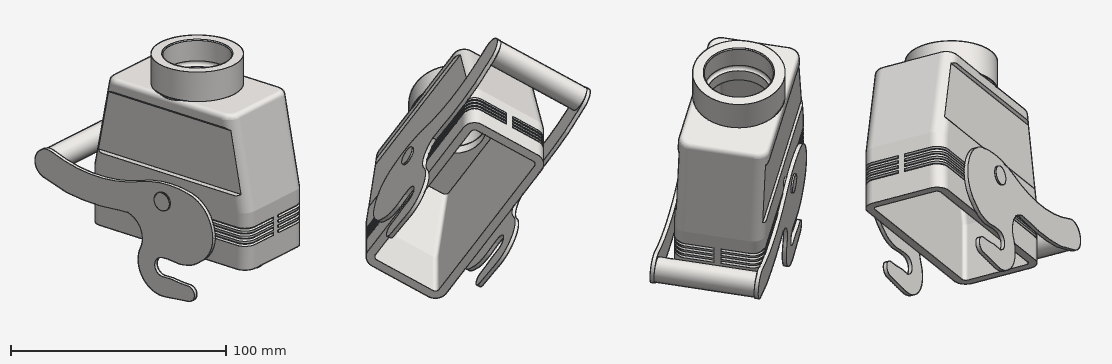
import cadquery as cq
import math

hood_length = 93.5
hood_width = 43.3
skirt_height = 29.0
hood_height = 76.0
roof_length = 75.1
corner_radius = 6.1
roof_edge_radius = 2.6

wall = 4.0

collar_diameter = 43.1
collar_root_diameter = 42.2
collar_top = 91.0
bore_radius = 16.1
bore_mouth_chamfer = 0.5
bore_depth = 10.8
throat_radius = 14.9
throat_start_depth = 13.1
bore_end_mid_radius = 15.8
bore_end_mid_depth = 12.5

panel_depth = 1.1
panel_bottom = 37.0
panel_top = 69.8

groove_count = 4
groove_width = 1.5
groove_depth = groove_width / 2
groove_pitch = 2.6
first_groove_bottom = 12.2
groove_gap = 3.4

pivot_height = 24.8
plate_inner_y = 23.8
plate_thickness = 2.0
pin_radius = 2.5
pin_head_radius = 4.5
overall_width = 53.2
pin_head_outer_y = overall_width / 2
handle_radius = 6.0

end_centre = (-68.5, pivot_height)
end_radius = 7.5
dip_centre = (-38.7, 101.6)
crown_centre = (3.8, -15.3)
crown_radius = 49.3
shoulder_centre = (11.3, 15.2)
belly_centre = (12.9, 14.1)
belly_radius = 16.8
hook_centre = (0.0, -8.7)
hook_outer_radius = 14.7
hook_inner_radius = 4.8
tip_centre = (14.9, -18.0)
tip_radius = 3.9
neck_centre = (-23.2, 2.6)

belly_tail_mid = (17.9, -2.7)
belly_tail_end = (13.7, -3.9)
slot_bulge_mid = (11.7, -4.3)
slot_bulge_end = (9.6, -4.4)
slot_roof_bend = (3.1, -3.8)
slot_floor_start = (4.9, -13.4)
slot_floor_end = (10.1, -14.0)
underside_start = (-27.0, 13.1)
underside_mid = (-39.3, 12.3)
underside_end = (-57.2, 13.6)

end_tangent_angle = 253
belly_start_angle = 20
belly_end_angle = -59
finger_tangent_angle = 276
neck_end_angle = 78


def distance(a, b):
    return math.hypot(b[0] - a[0], b[1] - a[1])


def on_circle(centre, radius, degrees):
    angle = math.radians(degrees)
    return (centre[0] + radius * math.cos(angle), centre[1] + radius * math.sin(angle))


def toward(centre, radius, target):
    """Point on the circle on the ray from its centre to the target."""
    angle = math.atan2(target[1] - centre[1], target[0] - centre[0])
    return on_circle(centre, radius, math.degrees(angle))


def mirrored_y(solid):
    """The solid together with its mirror image across the XZ plane."""
    return solid.union(solid.mirror("XZ"))


def y_cylinder(x, z, radius, y_start, y_end):
    plane = cq.Plane(origin=(x, y_start, z), xDir=(1, 0, 0), normal=(0, 1, 0))
    return cq.Workplane(plane).circle(radius).extrude(y_end - y_start)


def tapered_block(inset, height):
    """Hood shape shrunk by inset on all four sides and cut off at the given height."""
    slope = (hood_length - roof_length) / 2 / (hood_height - skirt_height)
    half_base = hood_length / 2 - inset
    half_top = half_base - slope * (height - skirt_height)
    block = (
        cq.Workplane("XZ")
        .polyline([
            (-half_base, 0), (half_base, 0), (half_base, skirt_height),
            (half_top, height), (-half_top, height), (-half_base, skirt_height),
        ])
        .close()
        .extrude(hood_width / 2 - inset, both=True)
    )
    upright_edges = "(not |X) and (not |Y)"
    return block.edges(upright_edges).fillet(corner_radius - inset)


def panel_cutter():
    """Recess on the -Y side, with its top and bottom flanks at 45 degrees."""
    face_y = -hood_width / 2
    floor_y = face_y + panel_depth
    return (
        cq.Workplane("YZ")
        .polyline([
            (face_y, panel_bottom), (floor_y, panel_bottom + panel_depth),
            (floor_y, panel_top - panel_depth), (face_y, panel_top),
        ])
        .close()
        .extrude(hood_length / 2, both=True)
    )


def groove_cutter(bottom):
    """Ring around the skirt with a V-shaped inner side and gaps on the short faces."""
    middle = bottom + groove_depth

    def half_core(direction):
        outline = cq.Workplane("XY", origin=(0, 0, middle)).sketch()
        outline = outline.rect(hood_length - 2 * groove_depth, hood_width - 2 * groove_depth)
        outline = outline.vertices().fillet(corner_radius - groove_depth).finalize()
        return outline.extrude(direction * groove_depth, taper=-45)

    ring = (
        cq.Workplane("XY", origin=(0, 0, middle))
        .box(hood_length + wall, hood_width + wall, groove_width)
        .cut(half_core(1))
        .cut(half_core(-1))
    )
    gap = cq.Workplane("XY", origin=(0, 0, middle)).box(2 * hood_length, groove_gap, 2 * groove_width)
    return ring.cut(gap)


def make_bore(cavity_top):
    """Revolved cutter: chamfered mouth, bore with a rounded end, narrower throat."""
    throat_z = collar_top - throat_start_depth
    return (
        cq.Workplane("XZ")
        .moveTo(0, collar_top)
        .lineTo(bore_radius + bore_mouth_chamfer, collar_top)
        .lineTo(bore_radius, collar_top - bore_mouth_chamfer)
        .lineTo(bore_radius, collar_top - bore_depth)
        .threePointArc(
            (bore_end_mid_radius, collar_top - bore_end_mid_depth), (throat_radius, throat_z)
        )
        .lineTo(throat_radius, cavity_top - wall)
        .lineTo(0, cavity_top - wall)
        .close()
        .revolve(360, (0, 0, 0), (0, 1, 0))
    )


def make_hood():
    cavity_top = hood_height - wall
    hood = tapered_block(0, hood_height).faces(">Z").edges().fillet(roof_edge_radius)
    hood = hood.cut(mirrored_y(panel_cutter()))
    for index in range(groove_count):
        hood = hood.cut(groove_cutter(first_groove_bottom + index * groove_pitch))

    collar = (
        cq.Workplane("XY", origin=(0, 0, cavity_top))
        .circle(collar_root_diameter / 2)
        .extrude(wall)
        .faces(">Z")
        .workplane()
        .circle(collar_diameter / 2)
        .extrude(collar_top - hood_height)
    )
    return hood.union(collar).cut(tapered_block(wall, cavity_top)).cut(make_bore(cavity_top))


def lever_plate():
    """Lever plate on the -Y side, outlined in one loop from the bottom of its handle end."""
    dip_radius = distance(end_centre, dip_centre) - end_radius
    shoulder_radius = crown_radius - distance(crown_centre, shoulder_centre)
    neck_radius = distance(hook_centre, neck_centre) - hook_outer_radius

    end_bottom = on_circle(end_centre, end_radius, end_tangent_angle)
    end_top = toward(end_centre, end_radius, dip_centre)
    dip_end = toward(dip_centre, dip_radius, crown_centre)
    shoulder_start = toward(crown_centre, crown_radius, shoulder_centre)
    belly_start = on_circle(belly_centre, belly_radius, belly_start_angle)
    belly_end = on_circle(belly_centre, belly_radius, belly_end_angle)
    neck_start = toward(hook_centre, hook_outer_radius, neck_centre)

    return (
        cq.Workplane("XZ", origin=(0, -plate_inner_y, 0))
        .moveTo(*end_bottom)
        .threePointArc(on_circle(end_centre, end_radius, 180), end_top)
        .threePointArc(on_circle(dip_centre, dip_radius, 271), dip_end)
        .threePointArc(on_circle(crown_centre, crown_radius, 90), shoulder_start)
        .threePointArc(on_circle(shoulder_centre, shoulder_radius, 45), belly_start)
        .threePointArc(on_circle(belly_centre, belly_radius, -20), belly_end)
        .threePointArc(belly_tail_mid, belly_tail_end)
        .threePointArc(slot_bulge_mid, slot_bulge_end)
        .lineTo(*slot_roof_bend)
        .lineTo(*on_circle(hook_centre, hook_inner_radius, 90))
        .threePointArc(
            on_circle(hook_centre, hook_inner_radius, 180),
            on_circle(hook_centre, hook_inner_radius, 270),
        )
        .lineTo(*slot_floor_start)
        .lineTo(*slot_floor_end)
        .lineTo(*on_circle(tip_centre, tip_radius, 90))
        .threePointArc(
            on_circle(tip_centre, tip_radius, 0),
            on_circle(tip_centre, tip_radius, finger_tangent_angle),
        )
        .lineTo(*on_circle(hook_centre, hook_outer_radius, finger_tangent_angle))
        .threePointArc(on_circle(hook_centre, hook_outer_radius, 200), neck_start)
        .threePointArc(
            on_circle(neck_centre, neck_radius, 25),
            on_circle(neck_centre, neck_radius, neck_end_angle),
        )
        .lineTo(*underside_start)
        .threePointArc(underside_mid, underside_end)
        .close()
        .extrude(plate_thickness)
    )


def make_lever():
    """Both plates with their pivot pins, and the handle between them."""
    pin_start = hood_width / 2 - wall / 2
    pin = y_cylinder(0, pivot_height, pin_radius, -pin_head_outer_y, -pin_start)
    head = y_cylinder(0, pivot_height, pin_head_radius, -pin_head_outer_y, -plate_inner_y)
    side = lever_plate().union(pin).union(head)

    handle_x = end_centre[0] - end_radius + handle_radius
    handle = y_cylinder(handle_x, pivot_height, handle_radius, -plate_inner_y, plate_inner_y)
    return mirrored_y(side).union(handle)


result = make_hood().union(make_lever())